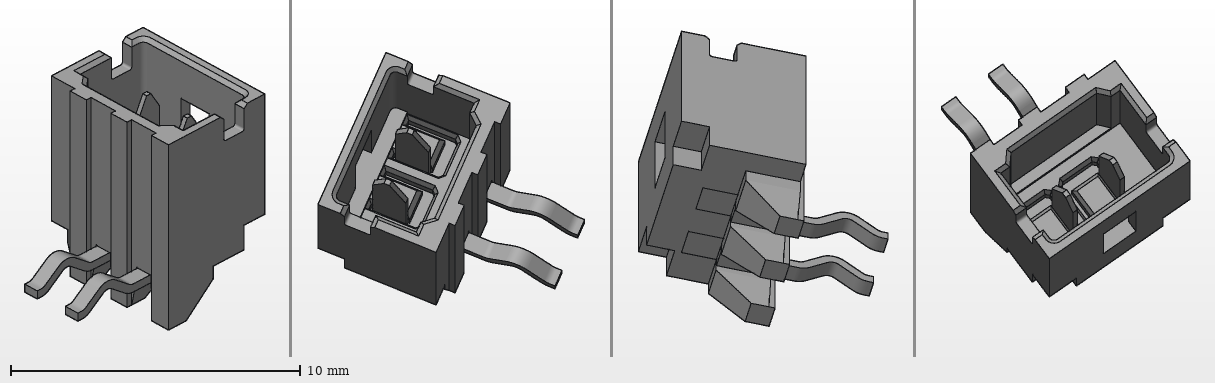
import cadquery as cq
import math


shell_width = 6.0
shell_depth = 4.445
shell_height = 5.95
center_x = shell_width / 2

side_wall = 0.46
back_wall = 0.44
cavity_front = 0.94
cavity_back = shell_depth - back_wall
cavity_corner_radius = 0.21
rim_chamfer = 0.15
key_front = 0.55
key_inset = 0.38
key_slope_run = 0.33
step_back = 3.44
floor_z = 1.59
ledge_z = 1.75

notch_width = 0.98
notch_depth = 1.06
notch_chamfer = 0.16
notch_radius = 0.095

window_width = 1.375
window_top = shell_height - 1.67
relief_width = 1.15
relief_height = 1.01

pitch = 2.0
rib_count = 3
rib_left = 1.15
rib_width = 0.8
rib_thickness = 0.22
foot_height = 1.65
foot_straight = 0.52
foot_depth_top = 1.95
foot_depth_bottom = 0.635
foot_flare = 0.24
end_foot_flare = 0.36

contact_count = 2
groove_left = 1.79
groove_width = 1.72
groove_front = 1.335
groove_corner = 0.19
groove_depth = 0.635
lead_in = 0.11
lead_in_depth = 0.24
tongue_left = 2.09
tongue_width = 1.11
tongue_front = 1.885
tongue_nose = 0.16

blade_thickness = tongue_left - groove_left - lead_in
blade_left = groove_left + lead_in
blade_front = 1.95
blade_back = 3.195
tip_z = shell_height - 1.02
tip_front = 2.56
tip_back = 2.77
front_slope_height = 1.25
back_slope_height = 0.7
lead_width = 0.62
lead_left = 2.25
lead_thickness = 0.33
base_front = 1.27
lead_tip = -3.505
bend_y = -0.82
crest_y = -2.07
bend_angle = math.radians(36)
bend_radius = 1.5 * lead_thickness


def box(x, y, z):
    """Axis-aligned block from its (start, end) pair on each axis."""
    size = (x[1] - x[0], y[1] - y[0], z[1] - z[0])
    return cq.Workplane("XY").box(*size, centered=False).translate((x[0], y[0], z[0]))


def make_shell():
    """Block with the keyed cavity and its chamfered rim."""
    left = side_wall
    right = shell_width - side_wall
    key_left = left + key_inset
    key_right = right - key_inset
    outline = [
        (left, cavity_front),
        (key_left, cavity_front),
        (key_left + key_slope_run, key_front),
        (key_right - key_slope_run, key_front),
        (key_right, cavity_front),
        (right, cavity_front),
        (right, cavity_back),
        (left, cavity_back),
    ]
    cavity = (
        cq.Workplane("XY").workplane(offset=ledge_z)
        .polyline(outline).close().extrude(shell_height - ledge_z)
        .edges("|Z and >Y").fillet(cavity_corner_radius)
    )
    shell = box((0, shell_width), (0, shell_depth), (0, shell_height)).cut(cavity)
    margin = 0.08
    rim = cq.selectors.BoxSelector(
        (margin, margin, shell_height - margin),
        (shell_width - margin, shell_depth - margin, shell_height + margin),
        boundingbox=True,
    )
    shell = shell.edges(rim).chamfer(rim_chamfer)
    well = box((left, right), (cavity_front, step_back), (floor_z, shell_height - rim_chamfer))
    return shell.cut(well)


def make_notch():
    """Cutter for both side-wall notches: flared at the top, rounded at the bottom."""
    back = step_back
    front = back - notch_width
    bottom = shell_height - notch_depth
    flare_z = shell_height - notch_chamfer
    outline = [
        (front, bottom),
        (back, bottom),
        (back, flare_z),
        (back + notch_chamfer, shell_height),
        (front - notch_chamfer, shell_height),
        (front, flare_z),
    ]
    return (
        cq.Workplane("YZ").polyline(outline).close().extrude(shell_width)
        .edges("|X and <Z").fillet(notch_radius)
    )


def make_window():
    """Cutter for the window in the back wall, down to the back ledge."""
    half = window_width / 2
    return box((center_x - half, center_x + half), (cavity_back, shell_depth), (ledge_z, window_top))


def make_relief(x):
    """Cutter for one relief under a back corner, starting at x."""
    return box((x, x + relief_width), (step_back, shell_depth), (0, relief_height))


def make_rib(index):
    """Full-height front rib with the tapered foot behind its lower end."""
    left = rib_left + index * pitch
    is_first = index == 0
    is_last = index == rib_count - 1
    right = shell_width if is_last else left + rib_width
    top_left = left - (end_foot_flare if is_first else foot_flare)
    top_right = right if is_last else right + foot_flare
    rib = box((left, right), (-rib_thickness, 0), (-foot_height, shell_height))
    front_outline = [
        (top_left, 0),
        (top_left, -foot_straight),
        (left, -foot_height),
        (right, -foot_height),
        (top_right, -foot_straight),
        (top_right, 0),
    ]
    side_outline = [
        (0, 0),
        (foot_depth_top, 0),
        (foot_depth_top, -foot_straight),
        (foot_depth_bottom, -foot_height),
        (0, -foot_height),
    ]
    foot = cq.Workplane("XZ").polyline(front_outline).close().extrude(-foot_depth_top)
    side = cq.Workplane("YZ").polyline(side_outline).close().extrude(shell_width)
    return rib.union(foot.intersect(side))


def groove_outline(inset):
    """Groove outline, with clipped front corners, moved inward by inset."""
    left = groove_left + inset
    right = groove_left + groove_width - inset
    front = groove_front + inset
    back = step_back - inset
    clip = groove_corner - inset * (2 - math.sqrt(2))
    return [
        (left, back),
        (left, front + clip),
        (left + clip, front),
        (right - clip, front),
        (right, front + clip),
        (right, back),
    ]


def tongue_outline(side_inset, front_inset):
    """Tongue outline, open to the step at its back, with the sides and front moved inward."""
    left = tongue_left + side_inset
    right = tongue_left + tongue_width - side_inset
    front = tongue_front + front_inset
    return [(left, step_back), (left, front), (right, front), (right, step_back)]


def flared(lower, upper):
    """Groove-deep prism on the lower outline that tapers to the upper outline at the floor."""
    straight = groove_depth - lead_in_depth
    return (
        cq.Workplane("XY").workplane(offset=floor_z - groove_depth)
        .polyline(lower).close().extrude(straight)
        .faces(">Z").workplane(origin=(0, 0, 0))
        .polyline(lower).close()
        .workplane(offset=lead_in_depth)
        .polyline(upper).close().loft(combine=True)
    )


def make_groove(index):
    """Cutter for one contact groove: a flared pocket that leaves a tongue standing."""
    pocket = flared(groove_outline(lead_in), groove_outline(0))
    tongue = flared(tongue_outline(0, 0), tongue_outline(lead_in, tongue_nose))
    return pocket.cut(tongue).translate((index * pitch, 0, 0))


def make_pin(index):
    """Contact pin: pointed blade on a base in the floor, with a wave-shaped solder lead."""
    blade_outline = [
        (blade_front, 0),
        (blade_back, 0),
        (blade_back, tip_z - back_slope_height),
        (tip_back, tip_z),
        (tip_front, tip_z),
        (blade_front, tip_z - front_slope_height),
    ]
    blade = (
        cq.Workplane("YZ").workplane(offset=blade_left)
        .polyline(blade_outline).close().extrude(blade_thickness)
    )
    base = box((blade_left, lead_left + lead_width), (base_front, blade_back), (0, lead_thickness))

    low = -lead_thickness / 2
    arc_run = bend_radius * math.sin(bend_angle)
    arc_rise = bend_radius * (1 - math.cos(bend_angle))
    slope_run = bend_y - crest_y - 2 * arc_run
    slope_top = low + arc_rise + slope_run * math.tan(bend_angle)
    far_bend_y = 2 * crest_y - bend_y
    path = (
        cq.Workplane("YZ").moveTo(foot_depth_top, low)
        .lineTo(bend_y, low)
        .tangentArcPoint((bend_y - arc_run, low + arc_rise), relative=False)
        .lineTo(crest_y + arc_run, slope_top)
        .tangentArcPoint((crest_y - arc_run, slope_top), relative=False)
        .lineTo(far_bend_y + arc_run, low + arc_rise)
        .tangentArcPoint((far_bend_y, low), relative=False)
        .lineTo(lead_tip, low)
    )
    lead = (
        cq.Workplane("XZ", origin=(0, foot_depth_top, 0))
        .center(lead_left + lead_width / 2, low)
        .rect(lead_width, lead_thickness)
        .sweep(path.translate((lead_left + lead_width / 2, 0, 0)))
    )
    return blade.union(base).union(lead).translate((index * pitch, 0, 0))


def make_housing(pins):
    """Housing with a matching seat cut for every pin."""
    housing = make_shell().cut(make_notch()).cut(make_window())
    for x in (0, shell_width - relief_width):
        housing = housing.cut(make_relief(x))
    for index in range(rib_count):
        housing = housing.union(make_rib(index))
    for index in range(contact_count):
        housing = housing.cut(make_groove(index))
    for pin in pins:
        housing = housing.cut(pin)
    return housing


pins = [make_pin(index) for index in range(contact_count)]
housing = make_housing(pins)

result = cq.Compound.makeCompound([housing.solids().val(), *[pin.solids().val() for pin in pins]])